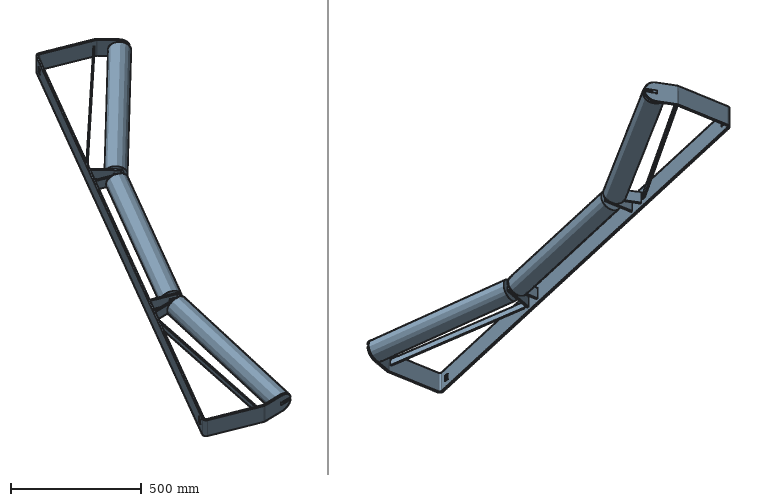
import cadquery as cq
import math


FRAME_LENGTH = 2000.0
PLATE = 8.0
STRIP_HEIGHT = 90.0
BEND_RADIUS = 15.0
WALL_BEND_Y = 245.0
ARM_REACH = 40.0
HOLE_INSET = 48.0
HOLE_WIDTH = 18.0
HOLE_HEIGHT = 25.0

ROLLER_DIAMETER = 90.0
ROLLER_LENGTH = 640.0
ROLLER_GAP = 2.0
ROLLER_DROP = 5.0
SHAFT_DIAMETER = 20.0
SHAFT_FLATS = 15.0
MIDDLE_AXIS_Y = 100.0
WING_AXIS_Y = 218.0
WING_ANGLE = 20.0

BRACKET_HEIGHT = 50.0
BRIDGE_TOP_Y = 130.0

STRUT_HEIGHT = 28.0
STRUT_THICKNESS = 5.0
STRUT_WALL_Y = 238.0
STRUT_FOOT_X = 402.0

COS = math.cos(math.radians(WING_ANGLE))
SIN = math.sin(math.radians(WING_ANGLE))
TAN = SIN / COS
HALF_FRAME = FRAME_LENGTH / 2
WALL_INNER_X = HALF_FRAME - PLATE
NEAR_FACE = ROLLER_LENGTH / 2 + ROLLER_GAP
FAR_FACE = NEAR_FACE + PLATE
SHAFT_LENGTH = 2 * FAR_FACE
WING_AXIS_X = HALF_FRAME - FAR_FACE / COS + (WALL_BEND_Y - WING_AXIS_Y) * TAN

LEFT_WING = (-WING_AXIS_X, WING_AXIS_Y, -WING_ANGLE)
MIDDLE = (0, MIDDLE_AXIS_Y, 0)
RIGHT_WING = (WING_AXIS_X, WING_AXIS_Y, WING_ANGLE)
ROLLER_PLACES = [LEFT_WING, MIDDLE, RIGHT_WING]


def place(body, roller_place):
    """Move a body from a roller's own axes (X along the shaft) into position."""
    centre_x, centre_y, angle = roller_place
    return body.rotate((0, 0, 0), (0, 0, 1), angle).translate((centre_x, centre_y, 0))


def right_wing_point(along, across):
    """Point at the given distances along and across the right outer roller's axis."""
    return (
        WING_AXIS_X + along * COS - across * SIN,
        WING_AXIS_Y + along * SIN + across * COS,
    )


def right_wing_plane_x(along, y):
    """X, at the given Y, of the plane square to the right outer roller's axis."""
    return WING_AXIS_X + along / COS - (y - WING_AXIS_Y) * TAN


def upright_bar(outline, height):
    """Bar with the given XY outline, centred on Z = 0."""
    return cq.Workplane("XY").workplane(offset=-height / 2).polyline(outline).close().extrude(height)


def rod(diameter, length):
    """Cylinder along X, centred on the origin."""
    return cq.Workplane("YZ").workplane(offset=-length / 2).circle(diameter / 2).extrude(length)


def with_mirror_image(body):
    return [body, body.mirror("YZ")]


def make_shaft():
    flats = cq.Workplane("XY").box(SHAFT_LENGTH, SHAFT_DIAMETER, SHAFT_FLATS)
    return rod(SHAFT_DIAMETER, SHAFT_LENGTH).intersect(flats)


def make_roller():
    barrel = rod(ROLLER_DIAMETER, ROLLER_LENGTH).translate((0, 0, -ROLLER_DROP))
    return barrel.union(make_shaft())


def cut_shaft_slots(body):
    """Cut the slots that take the shaft ends, open on the side away from the base strip."""
    opening = cq.Workplane("XY").box(
        SHAFT_LENGTH, ROLLER_DIAMETER, SHAFT_FLATS, centered=(True, False, True))
    slot = make_shaft().union(opening)
    for roller_place in ROLLER_PLACES:
        body = body.cut(place(slot, roller_place))
    return body


def round_bends(frame, x, y, radius):
    """Fillet the upright edge at (x, y) and its mirror image."""
    reach = 2.0
    for side in (-1, 1):
        near_bend = cq.selectors.BoxSelector(
            (side * x - reach, y - reach, -reach), (side * x + reach, y + reach, reach))
        frame = frame.edges("|Z").edges(near_bend).fillet(radius)
    return frame


def round_arm_tips(frame):
    disc_across = ARM_REACH - STRIP_HEIGHT / 2
    tip = cq.Workplane("XY").box(
        SHAFT_LENGTH, STRIP_HEIGHT / 2, STRIP_HEIGHT, centered=(True, False, True))
    corners = tip.cut(rod(STRIP_HEIGHT, SHAFT_LENGTH)).translate((0, disc_across, 0))
    for roller_place in (LEFT_WING, RIGHT_WING):
        frame = frame.cut(place(corners, roller_place))
    return frame


def cut_mounting_holes(frame):
    hole_x = HALF_FRAME - HOLE_INSET
    holes = (
        cq.Workplane("XZ")
        .pushPoints([(-hole_x, 0), (hole_x, 0)])
        .rect(HOLE_WIDTH, HOLE_HEIGHT)
        .extrude(-PLATE)
    )
    return frame.cut(holes)


def make_frame():
    inner_bend_y = WING_AXIS_Y + (WING_AXIS_X + NEAR_FACE / COS - WALL_INNER_X) / TAN
    right_side = [
        (HALF_FRAME, 0),
        (HALF_FRAME, WALL_BEND_Y),
        right_wing_point(FAR_FACE, ARM_REACH),
        right_wing_point(NEAR_FACE, ARM_REACH),
        (WALL_INNER_X, inner_bend_y),
        (WALL_INNER_X, PLATE),
    ]
    left_side = [(-x, y) for x, y in reversed(right_side)]
    frame = upright_bar(right_side + left_side, STRIP_HEIGHT)

    inner_radius = BEND_RADIUS - PLATE
    frame = round_bends(frame, HALF_FRAME, 0, BEND_RADIUS)
    frame = round_bends(frame, WALL_INNER_X, PLATE, inner_radius)
    frame = round_bends(frame, HALF_FRAME, WALL_BEND_Y, BEND_RADIUS)
    frame = round_bends(frame, WALL_INNER_X, inner_bend_y, inner_radius)

    frame = round_arm_tips(frame)
    frame = cut_mounting_holes(frame)
    return cut_shaft_slots(frame)


def make_right_bracket():
    """Upright leg at the middle roller, leaning leg at the outer roller, joined by a bridge."""
    bridge_under_y = BRIDGE_TOP_Y - PLATE
    outline = [
        (NEAR_FACE, PLATE),
        (NEAR_FACE, BRIDGE_TOP_Y),
        (right_wing_plane_x(-NEAR_FACE, BRIDGE_TOP_Y), BRIDGE_TOP_Y),
        (right_wing_plane_x(-NEAR_FACE, PLATE), PLATE),
        (right_wing_plane_x(-FAR_FACE, PLATE), PLATE),
        (right_wing_plane_x(-FAR_FACE, bridge_under_y), bridge_under_y),
        (FAR_FACE, bridge_under_y),
        (FAR_FACE, PLATE),
    ]
    return cut_shaft_slots(upright_bar(outline, BRACKET_HEIGHT))


def make_right_strut():
    """Flat bar from the base strip up to the side wall, with ends cut to fit both."""
    slope = math.atan2(STRUT_WALL_Y - PLATE, WALL_INNER_X - STRUT_FOOT_X)
    outline = [
        (WALL_INNER_X, STRUT_WALL_Y),
        (STRUT_FOOT_X, PLATE),
        (STRUT_FOOT_X + STRUT_THICKNESS / math.sin(slope), PLATE),
        (WALL_INNER_X, STRUT_WALL_Y - STRUT_THICKNESS / math.cos(slope)),
    ]
    return upright_bar(outline, STRUT_HEIGHT)


frame = make_frame()
rollers = [place(make_roller(), roller_place) for roller_place in ROLLER_PLACES]
brackets = with_mirror_image(make_right_bracket())
struts = with_mirror_image(make_right_strut())

bodies = [frame, *rollers, *brackets, *struts]
result = cq.Compound.makeCompound([body.solids().val() for body in bodies])